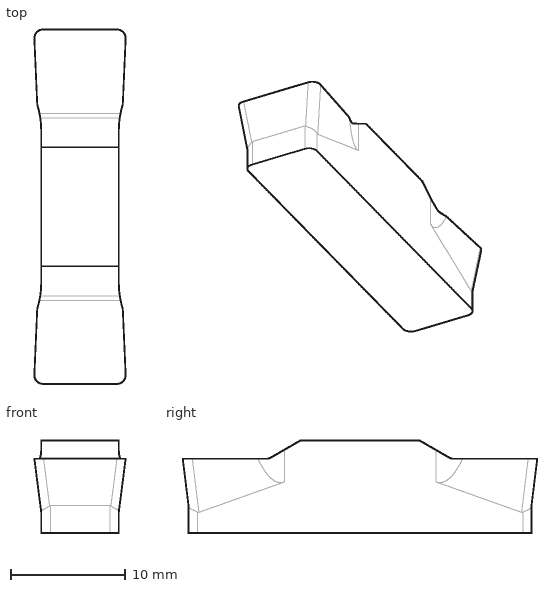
import cadquery as cq
import math


body_width = 6.8
body_length = 30.0
crown_height = 8.1
crown_length = 10.4
corner_radius = 0.8

overall_length = 31.0
edge_width = 8.0
seat_height = 6.5
ramp_angle = math.radians(30)
ramp_fillet = 0.8
relief_angle = math.radians(7)
back_taper_angle = math.radians(2.5)

blend_radius = 8.0
blend_start_y = 6.6

ramp_foot_y = crown_length / 2 + (crown_height - seat_height) / math.tan(ramp_angle)


def side_envelope():
    """Raised crown with ramps down to the two seats, wider than the whole part."""
    half_length = overall_length / 2
    half_crown = crown_length / 2
    envelope = (
        cq.Workplane("YZ")
        .moveTo(-half_length, 0)
        .lineTo(half_length, 0)
        .lineTo(half_length, seat_height)
        .lineTo(ramp_foot_y, seat_height)
        .lineTo(half_crown, crown_height)
        .lineTo(-half_crown, crown_height)
        .lineTo(-ramp_foot_y, seat_height)
        .lineTo(-half_length, seat_height)
        .close()
        .extrude(edge_width, both=True)
    )
    ramp_feet = cq.selectors.BoxSelector(
        (-edge_width, -ramp_foot_y - ramp_fillet, seat_height - ramp_fillet),
        (edge_width, ramp_foot_y + ramp_fillet, seat_height + ramp_fillet),
    )
    return envelope.edges("|X").edges(ramp_feet).fillet(ramp_fillet)


def shank():
    """Straight-sided bar with rounded vertical corners."""
    bar = cq.Workplane("XY").rect(body_width, body_length).extrude(crown_height)
    return bar.edges("|Z").fillet(corner_radius)


def head_section(z):
    """Corner points of the cutting end at height z, as (x, y) pairs."""
    relief = (z - seat_height) * math.tan(relief_angle)
    widest_y = overall_length / 2 - corner_radius
    front_y = overall_length / 2 + relief

    def half_width(y):
        return edge_width / 2 + relief + (y - widest_y) * math.tan(back_taper_angle)

    front_x = half_width(front_y)
    back_x = half_width(blend_start_y)
    return [(-back_x, blend_start_y), (back_x, blend_start_y), (front_x, front_y), (-front_x, front_y)]


def flat_face(corners):
    """Planar face bounded by straight lines through the given corners."""
    return cq.Face.makeFromWires(cq.Wire.makePolygon(corners, close=True))


def cutting_end():
    """Cutting end on the +Y side, with relief on its front and flanks."""
    bottom = [cq.Vector(x, y, 0) for x, y in head_section(0)]
    top = [cq.Vector(x, y, crown_height) for x, y in head_section(crown_height)]
    walls = [[bottom[i - 1], bottom[i], top[i], top[i - 1]] for i in range(len(bottom))]
    faces = [flat_face(corners) for corners in [bottom, top] + walls]
    head = cq.Workplane(cq.Solid.makeSolid(cq.Shell.makeShell(faces)))
    head = head.faces(">Y").edges("not |X").fillet(corner_radius)

    blend_center_x = body_width / 2 + blend_radius
    blends = (
        cq.Workplane("XY")
        .pushPoints([(-blend_center_x, blend_start_y), (blend_center_x, blend_start_y)])
        .circle(blend_radius)
        .extrude(crown_height)
    )
    return head.cut(blends)


positive_end = cutting_end()
negative_end = positive_end.mirror("XZ")
insert = shank().union(positive_end).union(negative_end).intersect(side_envelope())
result = cq.Workplane(insert.solids().val())